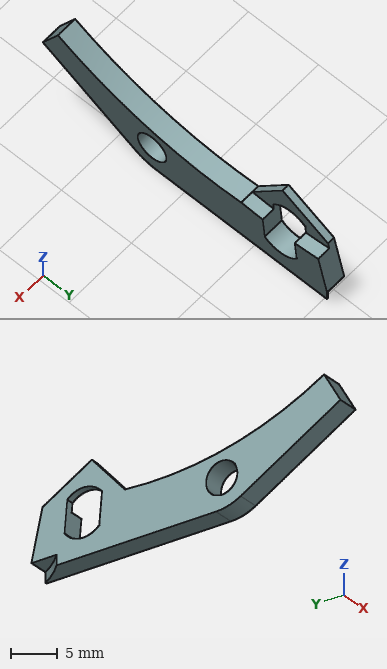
import cadquery as cq
import math


THICKNESS = 2.76
TAIL_PLATE = 0.98

LENGTH = 40.61
HEIGHT = 12.18
TIP_ANGLE = 30.0
TIP_WIDTH = 4.32
BELLY_RADIUS = 6.5
TOP_RADIUS = 44.6
TAIL_EDGE_HEIGHT = 1.4
TAIL_SHOULDER = (1.44, 7.6)
TAIL_PEAK = (7.94, 11.33)
TAIL_KNEE = (12.27, 6.4)

RELIEF_LOWEST = (8.2, 6.25)

PIVOT_CENTER = (25.0, 3.86)
PIVOT_DIAMETER = 4.1

FLATS_HOLE_CENTER = (6.8, 5.3)
FLATS_HOLE_DIAMETER = 6.05
FLATS_HOLE_WIDTH = 4.57
FLATS_HOLE_TILT = 5.3

NOTCH_LENGTH = 3.3
NOTCH_HEIGHT = 1.28
NOTCH_DEPTH = 2.55
NOTCH_RADIUS = 12.5


def across_thickness(center=(0, 0)):
    """Workplane facing -X on the -X face; its local x axis is the distance from the tail."""
    along, height = center
    return cq.Workplane(cq.Plane(origin=(0, -along, height), xDir=(0, -1, 0), normal=(-1, 0, 0)))


def arc_middle(start, end, radius):
    """Middle of the short arc that bulges to the right when going from start to end."""
    run = end[0] - start[0]
    rise = end[1] - start[1]
    chord = math.hypot(run, rise)
    bulge = radius - math.sqrt(radius**2 - (chord / 2) ** 2)
    return (
        (start[0] + end[0]) / 2 + bulge * rise / chord,
        (start[1] + end[1]) / 2 - bulge * run / chord,
    )


def lever_blank():
    tilt = math.radians(TIP_ANGLE)
    tip_top = (LENGTH - TIP_WIDTH * math.sin(tilt), HEIGHT)
    tip_bottom = (LENGTH, HEIGHT - TIP_WIDTH * math.cos(tilt))
    belly = (LENGTH - tip_bottom[1] / math.tan(tilt), 0)
    blank = (
        across_thickness()
        .moveTo(0, 0)
        .lineTo(0, TAIL_EDGE_HEIGHT)
        .lineTo(*TAIL_SHOULDER)
        .lineTo(*TAIL_PEAK)
        .lineTo(*TAIL_KNEE)
        .threePointArc(arc_middle(TAIL_KNEE, tip_top, TOP_RADIUS), tip_top)
        .lineTo(*tip_bottom)
        .lineTo(*belly)
        .close()
        .extrude(-THICKNESS)
    )
    belly_edge = cq.selectors.NearestToPointSelector((THICKNESS / 2, -belly[0], belly[1]))
    return blank.edges(belly_edge).fillet(BELLY_RADIUS)


def tail_relief():
    lowest_along, lowest_height = RELIEF_LOWEST
    cylinder = (
        across_thickness((lowest_along, lowest_height + TOP_RADIUS))
        .workplane(offset=-TAIL_PLATE)
        .circle(TOP_RADIUS)
        .extrude(TAIL_PLATE - THICKNESS)
    )
    tail_side = (
        across_thickness()
        .rect(TAIL_KNEE[0], HEIGHT, centered=False)
        .extrude(-THICKNESS)
    )
    return cylinder.intersect(tail_side)


def pivot_hole():
    return across_thickness(PIVOT_CENTER).circle(PIVOT_DIAMETER / 2).extrude(-THICKNESS)


def flats_hole():
    plane = across_thickness(FLATS_HOLE_CENTER)
    bore = plane.circle(FLATS_HOLE_DIAMETER / 2).extrude(-THICKNESS)
    flats = (
        plane.transformed(rotate=(0, 0, -FLATS_HOLE_TILT))
        .rect(FLATS_HOLE_WIDTH, FLATS_HOLE_DIAMETER)
        .extrude(-THICKNESS)
    )
    return bore.intersect(flats)


def tail_notch():
    start = (0, -NOTCH_LENGTH)
    end = (NOTCH_DEPTH, 0)
    return (
        cq.Workplane("XY")
        .moveTo(*start)
        .threePointArc(arc_middle(start, end, NOTCH_RADIUS), end)
        .lineTo(0, 0)
        .close()
        .extrude(NOTCH_HEIGHT)
    )


result = (
    lever_blank()
    .cut(tail_relief())
    .cut(pivot_hole())
    .cut(flats_hole())
    .cut(tail_notch())
)